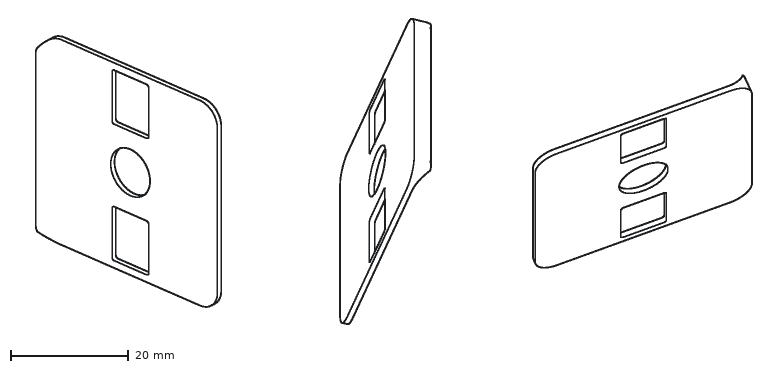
import cadquery as cq
import math

plate_size = 40.0
plate_thickness = 1.0
corner_radius = 4.0

lip_arc_radius = 4.0
tip_radius = 0.3

center_hole_diameter = 9.0
window_width = 8.4
window_height = 10.5
window_corner_radius = 0.5
window_offset = 13.3

half_size = plate_size / 2
cutter_reach = plate_thickness + lip_arc_radius


def make_lipped_plate():
    """Square plate with the lip, extruded along Z from its XY cross-section."""
    arc_center_x = -half_size + lip_arc_radius
    arc_center_y = -plate_thickness - lip_arc_radius

    center_distance = lip_arc_radius + tip_radius
    tip_center_x = -half_size + tip_radius
    tip_angle = math.asin((arc_center_x - tip_center_x) / center_distance)
    tip_center_y = arc_center_y + center_distance * math.cos(tip_angle)

    def arc_point(angle):
        """Point on the concave arc, with the angle measured from +Y toward -X."""
        x = arc_center_x - lip_arc_radius * math.sin(angle)
        y = arc_center_y + lip_arc_radius * math.cos(angle)
        return x, y

    return (
        cq.Workplane("XY")
        .moveTo(half_size, 0)
        .lineTo(half_size, -plate_thickness)
        .lineTo(arc_center_x, -plate_thickness)
        .threePointArc(arc_point(tip_angle / 2), arc_point(tip_angle))
        .threePointArc((tip_center_x, tip_center_y - tip_radius), (-half_size, tip_center_y))
        .lineTo(-half_size, 0)
        .close()
        .extrude(half_size, both=True)
    )


def make_rounded_block(width, height, radius):
    """Block centered on the Y axis, long enough to span the part, with rounded Y edges."""
    return (
        cq.Workplane("XZ")
        .rect(width, height)
        .extrude(cutter_reach, both=True)
        .edges("|Y")
        .fillet(radius)
    )


def make_center_hole():
    return cq.Workplane("XZ").circle(center_hole_diameter / 2).extrude(cutter_reach, both=True)


result = make_lipped_plate().intersect(make_rounded_block(plate_size, plate_size, corner_radius))
result = result.cut(make_center_hole())
window = make_rounded_block(window_width, window_height, window_corner_radius)
for side in (-1, 1):
    result = result.cut(window.translate((0, 0, side * window_offset)))